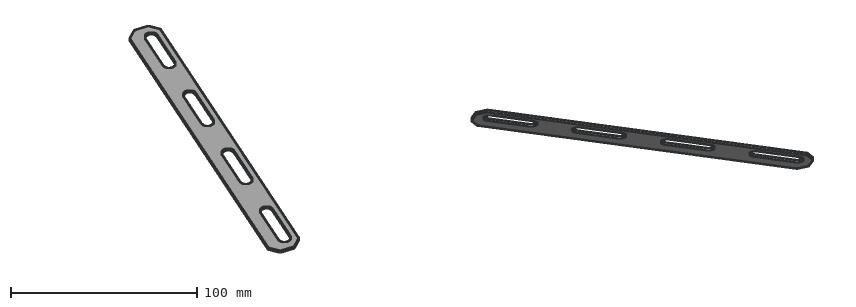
import cadquery as cq

length = 190.0
width = 18.0
thickness = 1.5
corner_chamfer = 5.0

slot_count = 4
slot_pitch = 50.0
slot_length = 30.0
slot_width = 7.0
slot_offset = 2.0


def make_plate():
    """Flat strip with all four corners cut at 45 degrees."""
    plate = cq.Workplane("XY").box(length, width, thickness)
    return plate.edges("|Z").chamfer(corner_chamfer)


def cut_slots(plate):
    """Cut the round-ended through slots, centred along the length."""
    return (
        plate.faces(">Z")
        .workplane(origin=(0, slot_offset, 0))
        .rarray(slot_pitch, 1.9, slot_count, 1)
        .slot2D(slot_length, slot_width)
        .cutThruAll()
    )


result = cut_slots(make_plate())